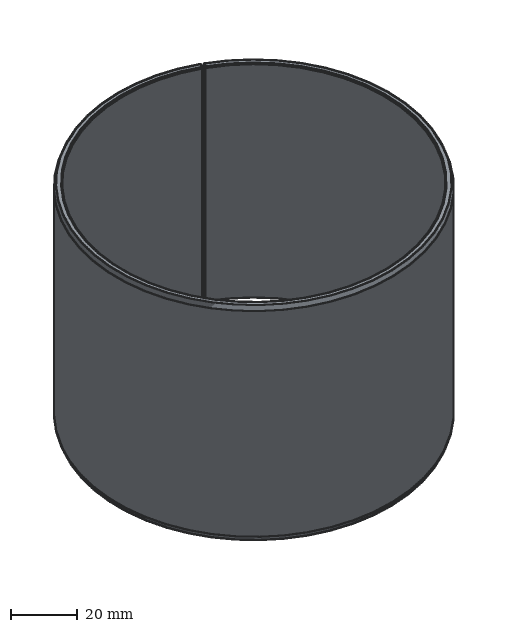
import cadquery as cq

outer_diameter = 120.0
wall = 2.5
height = 90.0
outer_chamfer_height = 1.8
outer_chamfer_width = 0.66
inner_chamfer = 0.4
slit_width = 1.0

outer_radius = outer_diameter / 2
inner_radius = outer_radius - wall
half_height = height / 2

upper_wall = [
    (inner_radius, half_height - inner_chamfer),
    (inner_radius + inner_chamfer, half_height),
    (outer_radius - outer_chamfer_width, half_height),
    (outer_radius, half_height - outer_chamfer_height),
]
lower_wall = [(radius, -z) for radius, z in reversed(upper_wall)]

sleeve = (
    cq.Workplane("XZ")
    .polyline(upper_wall + lower_wall)
    .close()
    .revolve(360, (0, 0, 0), (0, 1, 0))
)

slit = cq.Workplane("XY").box(outer_radius, slit_width, height).translate((-outer_radius, slit_width / 2, 0))

result = sleeve.cut(slit)